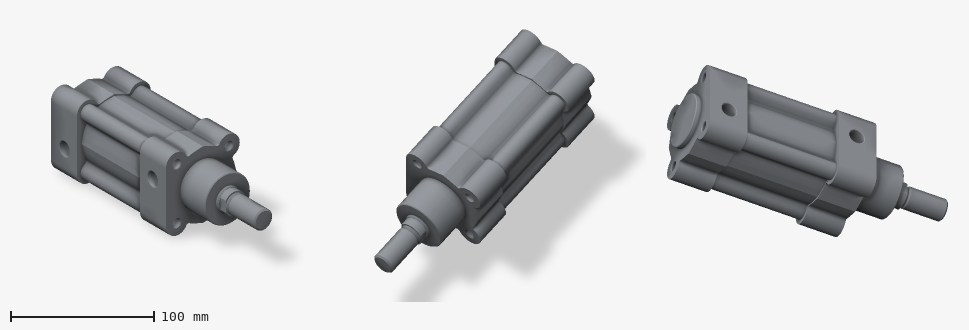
import cadquery as cq
import math


total_length = 204.0
spigot_length = 4.0
cap_length = 29.5
barrel_length = 71.6
nose_length = 28.2
barrel_start = spigot_length + cap_length
front_cap_start = barrel_start + barrel_length
front_cap_end = front_cap_start + cap_length
nose_end = front_cap_end + nose_length

cap_width = 65.0
diagonal = 45.0
lobe_offset = 23.0
half_width = cap_width / 2
lobe_radius = half_width - lobe_offset
cap_radius = 29.0
cap_ridge_angle = 15.0
corner_blend = 2.0

spigot_radius = 20.0
rim_chamfer = 0.6
screw_hole_diameter = 6.7
screw_hole_depth = 16.3
screw_chamfer = (0.6, 0.6)
port_radius = 5.7
port_depth = 14.3
port_chamfer = (0.5, 0.6)
port_setback = 15.3
port_rise = 8.4

seal_radius = 10.5
seal_tip_radius = 9.8
seal_land = 1.0
seal_lip = 0.8

barrel_radius = 28.0
barrel_ridge_angle = 11.0
tube_radius = 6.3

rod_radius = 9.5
rod_shoulder = 171.5
flat_start = 165.5
flat_half_width = 8.4
neck_top_radius = 8.2
groove_x = 173.5
groove_radius = 7.1
thread_start = 174.6
thread_diameter = 16.5
thread_radius = thread_diameter / 2
thread_chamfer = 1.2



def polar(radius, degrees):
    """Point in the YZ plane, with the angle measured from +Z toward +Y."""
    angle = math.radians(degrees)
    return (radius * math.sin(angle), radius * math.cos(angle))


def toward(start, end, distance):
    """Point at a distance from start, on the way to end."""
    fraction = distance / math.dist(start, end)
    return tuple(s + (e - s) * fraction for s, e in zip(start, end))


def swapped(point):
    """Reflection of a YZ point in the diagonal Y = Z."""
    return (point[1], point[0])


def turned(points):
    """Solid of revolution about X from (x, radius) points."""
    return cq.Workplane("XY").polyline(points).close().revolve(360, (0, 0, 0), (1, 0, 0))


def countersunk_hole(radius, depth, mouth_chamfer):
    """Cutter along +X with its mouth at the origin."""
    chamfer_depth, chamfer_width = mouth_chamfer
    return turned([
        (0, 0), (0, radius + chamfer_width), (chamfer_depth, radius), (depth, radius), (depth, 0),
    ])


def ridged_section(radius, ridge_angle, blend_angle, blend_end, corner_start, corner_tip, length):
    """Prism from X = 0 with a round body, a ridge on each side and four rounded corners.

    One quarter is outlined and then turned about the axis. From the ridge it follows a flat,
    the round body up to blend_angle, a concave blend to blend_end, a straight run to
    corner_start (if apart) and the corner arc over corner_tip; the rest is its reflection.
    """
    ridge = polar(radius / math.cos(math.radians(ridge_angle)), 0)
    flat_end = polar(radius, ridge_angle)
    body_mid = polar(radius, (ridge_angle + blend_angle) / 2)
    blend_start = polar(radius, blend_angle)
    blend_center = polar(radius + corner_blend, blend_angle)
    chord_mid = tuple((a + b) / 2 for a, b in zip(blend_start, blend_end))
    blend_mid = toward(blend_center, chord_mid, corner_blend)

    outline = cq.Workplane("YZ").lineTo(*ridge).lineTo(*flat_end)
    outline = outline.threePointArc(body_mid, blend_start).threePointArc(blend_mid, blend_end)
    if corner_start != blend_end:
        outline = outline.lineTo(*corner_start)
    outline = outline.threePointArc(corner_tip, swapped(corner_start))
    if corner_start != blend_end:
        outline = outline.lineTo(*swapped(blend_end))
    outline = outline.threePointArc(swapped(blend_mid), swapped(blend_start))
    outline = outline.threePointArc(swapped(body_mid), swapped(flat_end)).lineTo(*swapped(ridge))
    quarter = outline.close().extrude(length)

    section = quarter
    for turn in (90, 180, 270):
        section = section.union(quarter.rotate((0, 0, 0), (1, 0, 0), turn))
    return section.clean()


def make_cap_block():
    """Cap body from X = 0, with four corner lobes and a flat -Y side."""
    lobe_center = (lobe_offset, lobe_offset)
    lobe_distance = math.hypot(*lobe_center)
    to_blend = cap_radius + corner_blend
    lobe_to_blend = lobe_radius + corner_blend
    cosine = (to_blend**2 + lobe_distance**2 - lobe_to_blend**2) / (2 * to_blend * lobe_distance)
    blend_angle = diagonal - math.degrees(math.acos(cosine))
    blend_end = toward(lobe_center, polar(to_blend, blend_angle), lobe_radius)
    lobe_tip = polar(lobe_distance + lobe_radius, diagonal)
    block = ridged_section(
        cap_radius, cap_ridge_angle, blend_angle, blend_end, blend_end, lobe_tip, cap_length
    )
    flat_side = cq.Workplane("XY").box(
        cap_length, half_width, 2 * lobe_offset, centered=(False, False, True)
    )
    return block.union(flat_side.translate((0, -half_width, 0)))


def make_cap():
    """Cap with its outer face at X = 0, screw holes in that face and a port below the axis."""
    cap = make_cap_block()
    corners = [(y, z) for y in (-lobe_offset, lobe_offset) for z in (-lobe_offset, lobe_offset)]
    screw_hole = countersunk_hole(screw_hole_diameter / 2, screw_hole_depth, screw_chamfer)
    for y, z in corners:
        cap = cap.cut(screw_hole.translate((0, y, z)))
    port = countersunk_hole(port_radius, port_depth, port_chamfer)
    port = port.rotate((0, 0, 0), (0, 0, 1), 90)
    return cap.cut(port.translate((port_setback, -half_width, -port_rise)))


def make_rear_cap():
    """Cap with a chamfered centering spigot on its outer face."""
    spigot = cq.Workplane("YZ").circle(spigot_radius).extrude(spigot_length)
    spigot = spigot.faces("<X").chamfer(rim_chamfer)
    return make_cap().translate((spigot_length, 0, 0)).union(spigot)


def make_front_cap():
    """The same cap turned end for end, with the nose, wiper seal and rod bore."""
    cap = make_cap().rotate((0, 0, 0), (0, 1, 0), 180).translate((front_cap_end, 0, 0))
    nose = cq.Workplane("YZ").circle(spigot_radius).extrude(nose_length)
    nose = nose.faces(">X").chamfer(rim_chamfer).translate((front_cap_end, 0, 0))
    land_end = nose_end + seal_land
    seal = turned([
        (nose_end, 0), (nose_end, seal_radius), (land_end, seal_radius),
        (land_end + seal_lip, seal_tip_radius), (land_end + seal_lip, 0),
    ])
    bore = cq.Workplane("YZ").circle(rod_radius).extrude(total_length)
    return cap.union(nose).union(seal).cut(bore)


def make_barrel():
    """Extruded barrel with a tie-rod tube on a parallel-sided web at each corner."""
    sine = (tube_radius + corner_blend) / (barrel_radius + corner_blend)
    blend_angle = diagonal - math.degrees(math.asin(sine))
    side_step = math.cos(math.radians(diagonal))
    center_y, center_z = polar(barrel_radius + corner_blend, blend_angle)
    blend_end = (center_y + corner_blend * side_step, center_z - corner_blend * side_step)
    web_end = (lobe_offset - tube_radius * side_step, lobe_offset + tube_radius * side_step)
    tube_tip = polar(math.hypot(lobe_offset, lobe_offset) + tube_radius, diagonal)
    barrel = ridged_section(
        barrel_radius, barrel_ridge_angle, blend_angle, blend_end, web_end, tube_tip, barrel_length
    )
    return barrel.translate((barrel_start, 0, 0))


def make_rod():
    """Rod from the inner face of the front cap, with wrench flats, a V groove and a stud end."""
    rod = turned([
        (front_cap_start, 0), (front_cap_start, rod_radius), (rod_shoulder, rod_radius),
        (rod_shoulder, neck_top_radius), (groove_x, groove_radius), (thread_start, thread_radius),
        (total_length - thread_chamfer, thread_radius),
        (total_length, thread_radius - thread_chamfer), (total_length, 0),
    ])
    flat_length = rod_shoulder - flat_start
    for side in (-1, 1):
        waste = cq.Workplane("XY").box(flat_length, rod_radius, 2 * rod_radius)
        rod = rod.cut(waste.translate((
            flat_start + flat_length / 2, side * (flat_half_width + rod_radius / 2), 0,
        )))
    return rod


rear_cap = make_rear_cap()
barrel = make_barrel()
front_cap = make_front_cap()
rod = make_rod()

result = cq.Compound.makeCompound([rear_cap.val(), barrel.val(), front_cap.val(), rod.val()])